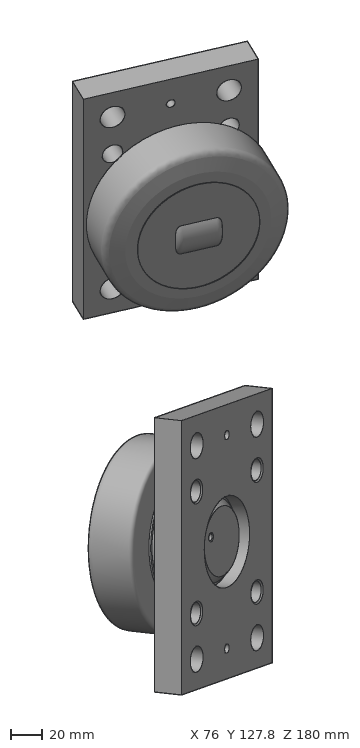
import cadquery as cq
import math

plate_height = 180.0
plate_width = 120.0
plate_thickness = 20.0

hole_offset_y = 40.0
outer_hole_offset_z = 70.0
inner_hole_offset_z = hole_offset_y
mounting_hole_diameter = 17.0
dowel_hole_diameter = 6.0
tapped_hole_diameter = 14.0
tapped_hole_chamfer = 0.99

bore_diameter = 60.0
bore_depth = 10.0
pin_diameter = 55.0
pin_face_diameter = 46.0
pin_recess = 3.8
grease_hole_diameter = 4.7
grease_hole_chamfer = 0.63
grease_hole_depth = 5.4
grease_hole_y = 14.0
grease_hole_z = 5.0
drill_point_angle = 118.0

neck_diameter = 80.3
collar_diameter = 83.9
collar_start = 32.8

roller_radius = 63.9
roller_start = 34.0
roller_end = 71.1
roller_front_flat_radius = 50.0
roller_front_cone_angle = 15.0
roller_back_fillet = 2.5
roller_front_fillet = 5.0

cover_diameter = collar_diameter
cover_end = 71.6
nose_tip = 76.0
nose_radius = 17.5
nose_length = 32.0
nose_fillet = 4.0


def disc(start, end, diameter):
    """Cylinder along X between two X positions."""
    return cq.Workplane("YZ", origin=(start, 0, 0)).circle(diameter / 2).extrude(end - start)


def turned(profile):
    """Solid of revolution about the X axis from (x, radius) points."""
    return cq.Workplane("XY").polyline(profile).close().revolve(360, (0, 0, 0), (1, 0, 0))


def bored_plate():
    plate = cq.Workplane("XY").box(
        plate_thickness, plate_width, plate_height, centered=(False, True, True)
    )
    return plate.cut(disc(0, bore_depth, bore_diameter))


def pin_end():
    chamfer = (pin_diameter - pin_face_diameter) / 2
    return disc(pin_recess, bore_depth, pin_diameter).faces("<X").chamfer(chamfer)


def roller():
    cone_angle = math.radians(roller_front_cone_angle)
    cone_length = (roller_radius - roller_front_flat_radius) * math.tan(cone_angle)
    body = turned([
        (roller_start, 0),
        (roller_start, roller_radius),
        (roller_end - cone_length, roller_radius),
        (roller_end, roller_front_flat_radius),
        (roller_end, 0),
    ])
    largest_circles = cq.selectors.RadiusNthSelector(-1)
    body = body.edges(largest_circles).edges("<X").fillet(roller_back_fillet)
    return body.edges(largest_circles).edges(">X").fillet(roller_front_fillet)


def nose():
    """Cylinder along Y with rounded ends, mostly sunk in the roller."""
    return (
        cq.Workplane("XZ", origin=(nose_tip - nose_radius, 0, 0))
        .circle(nose_radius)
        .extrude(nose_length / 2, both=True)
        .edges("%CIRCLE")
        .fillet(nose_fillet)
    )


def plain_holes(positions, diameter):
    return cq.Workplane("YZ").pushPoints(positions).circle(diameter / 2).extrude(plate_thickness)


def tapped_hole():
    """Through hole with a countersunk mouth on the back of the plate."""
    radius = tapped_hole_diameter / 2
    return turned([
        (0, 0),
        (0, radius + tapped_hole_chamfer),
        (tapped_hole_chamfer, radius),
        (plate_thickness, radius),
        (plate_thickness, 0),
    ])


def grease_hole():
    """Blind hole with a countersunk mouth in the pin face and a drill point at its bottom."""
    radius = grease_hole_diameter / 2
    point_length = radius / math.tan(math.radians(drill_point_angle / 2))
    hole_bottom = pin_recess + grease_hole_depth
    return turned([
        (pin_recess, 0),
        (pin_recess, radius + grease_hole_chamfer),
        (pin_recess + grease_hole_chamfer, radius),
        (hole_bottom, radius),
        (hole_bottom + point_length, 0),
    ])


sides = (-1, 1)
mounting_positions = [(i * hole_offset_y, j * outer_hole_offset_z) for i in sides for j in sides]
tapped_positions = [(i * hole_offset_y, j * inner_hole_offset_z) for i in sides for j in sides]
dowel_positions = [(0, j * outer_hole_offset_z) for j in sides]

result = (
    bored_plate()
    .union(pin_end())
    .union(disc(bore_depth, roller_start, neck_diameter))
    .union(disc(collar_start, roller_start, collar_diameter))
    .union(roller())
    .union(disc(roller_end, cover_end, cover_diameter))
    .union(nose())
    .cut(plain_holes(mounting_positions, mounting_hole_diameter))
    .cut(plain_holes(dowel_positions, dowel_hole_diameter))
    .cut(grease_hole().translate((0, grease_hole_y, grease_hole_z)))
)
for y, z in tapped_positions:
    result = result.cut(tapped_hole().translate((0, y, z)))